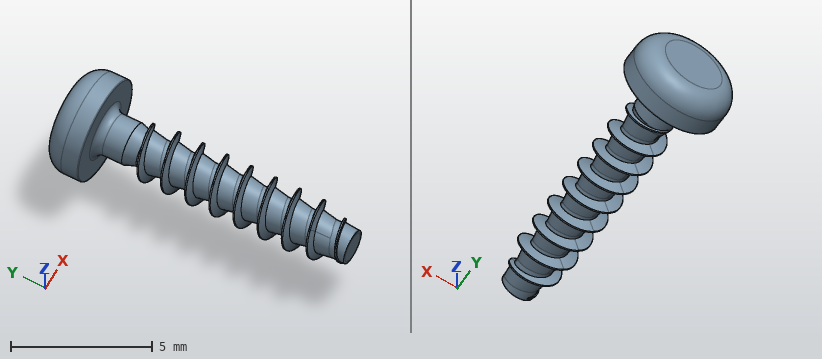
import cadquery as cq
import math

length = 11.5
head_radius = 2.0
head_height = 1.5
head_crown_radius = 0.8
head_rim_radius = 0.03
shank_radius = 0.82
neck_fillet = 0.33
shank_end_depth = 2.61
neck_end_depth = 3.1
core_radius = 0.65

pitch = 0.98
crest_radius = 1.099
crest_width = 0.06
flank_width_per_height = 0.28
buried_radius = 0.55
phase_depth = 2.92

thread_start, thread_end = 2.56, 11.38
run_in_end = 3.56
run_out_start = 10.1
run_out_break = 10.81
start_crest_radius = 0.87
break_crest_radius = 0.82
end_crest_radius = 0.68

core_fade_start = 10.0
core_high_radius = 0.76
core_low_radius = 0.63
core_slope_end = 0.79
samples_per_turn = 10


def blend(value, start, end, first, last):
    """Linear change from first to last between start and end."""
    return first + (last - first) * (value - start) / (end - start)


def thread_crest(depth):
    """Crest radius along the thread, including its run-in and run-out."""
    if depth < run_in_end:
        return blend(depth, thread_start, run_in_end, start_crest_radius, crest_radius)
    if depth < run_out_start:
        return crest_radius
    if depth < run_out_break:
        return blend(depth, run_out_start, run_out_break, crest_radius, break_crest_radius)
    return blend(depth, run_out_break, thread_end, break_crest_radius, end_crest_radius)


def core_crest(depth):
    """Core radius just behind the thread, fading out at the tip."""
    if depth < core_fade_start:
        return core_high_radius
    return blend(depth, core_fade_start, thread_end, core_high_radius, core_radius)


def thread_profile(depth):
    """Corners as (radius, axial offset): a thread and the sloped core surface behind it."""
    crest = thread_crest(depth)
    high = core_crest(depth)
    half_crest = crest_width / 2
    half_root = half_crest + flank_width_per_height * (crest - core_low_radius)
    half_high = half_crest + flank_width_per_height * (crest - high)
    return [
        (buried_radius, -half_root),
        (crest, -half_crest),
        (crest, half_crest),
        (high, half_high),
        (core_low_radius, core_slope_end),
        (buried_radius, core_slope_end),
    ]


def helix_point(depth, radius, offset):
    """Point of the right-handed helix for one corner of the profile."""
    angle = 2 * math.pi * (depth - phase_depth) / pitch
    return cq.Vector(radius * math.cos(angle), -(depth + offset), radius * math.sin(angle))


def corner_points(depth):
    """Corners of the profile placed in space."""
    return [helix_point(depth, radius, offset) for radius, offset in thread_profile(depth)]


def cap(depth):
    """Flat face closing the thread at one end."""
    return cq.Face.makeFromWires(cq.Wire.makePolygon(corner_points(depth), close=True))


def helical_faces(start, end):
    """Faces swept by the sides of the profile between two depths."""
    steps = math.ceil((end - start) / pitch * samples_per_turn)
    sections = [corner_points(start + (end - start) * i / steps) for i in range(steps + 1)]
    paths = [cq.Edge.makeSpline(list(points)) for points in zip(*sections)]
    return [cq.Face.makeRuledSurface(*pair) for pair in zip(paths, paths[1:] + paths[:1])]


def helical_thread():
    """Thread solid, divided where its height starts to change and at each turn."""
    stops = [thread_start, run_in_end]
    while stops[-1] + pitch < run_out_start:
        stops.append(stops[-1] + pitch)
    stops += [run_out_start, run_out_break, thread_end]
    faces = [cap(thread_start), cap(thread_end)]
    for start, end in zip(stops, stops[1:]):
        faces += helical_faces(start, end)
    return cq.Workplane(cq.Solid.makeSolid(cq.Shell.makeShell(faces)))


def screw_body():
    """Head, filleted shank, neck and plain core as one revolved shape."""
    diagonal = math.sqrt(0.5)
    crown_centre = head_radius - head_crown_radius
    rim_centre = head_radius - head_rim_radius
    rim_depth = head_height - head_rim_radius
    fillet_centre = shank_radius + neck_fillet
    fillet_end = head_height + neck_fillet
    return (
        cq.Workplane("XY")
        .lineTo(crown_centre, 0)
        .threePointArc(
            (crown_centre + head_crown_radius * diagonal, -head_crown_radius * (1 - diagonal)),
            (head_radius, -head_crown_radius),
        )
        .lineTo(head_radius, -rim_depth)
        .threePointArc(
            (rim_centre + head_rim_radius * diagonal, -rim_depth - head_rim_radius * diagonal),
            (rim_centre, -head_height),
        )
        .lineTo(fillet_centre, -head_height)
        .threePointArc(
            (fillet_centre - neck_fillet * diagonal, -fillet_end + neck_fillet * diagonal),
            (shank_radius, -fillet_end),
        )
        .lineTo(shank_radius, -shank_end_depth)
        .lineTo(core_radius, -neck_end_depth)
        .lineTo(core_radius, -length)
        .lineTo(0, -length)
        .close()
        .revolve(360, (0, 0, 0), (0, 1, 0))
    )


thread = helical_thread()
tip_limit = cq.Workplane("XZ").circle(head_radius + 0.12).extrude(length)
result = screw_body().union(thread, clean=False).intersect(tip_limit, clean=False)